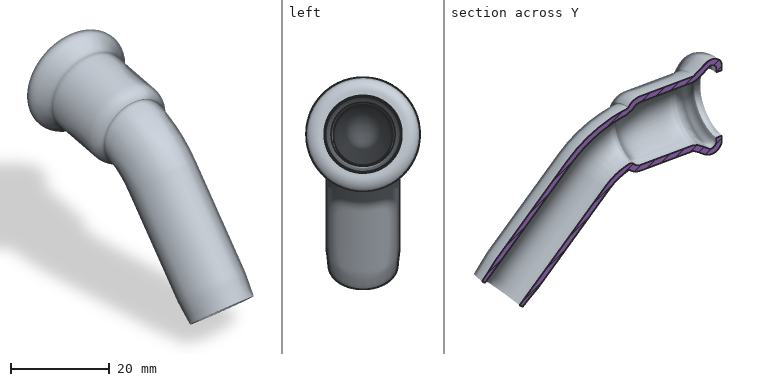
import cadquery as cq
import math

pipe_radius = 15.0 / 2
bore_radius = 12.0 / 2
bend_angle = 45
bend_radius = 18.25
leg_length = 29.9

bead_radius = 23.2 / 2
bead_round = 2.65
bead_middle_angle = math.radians(120)
flare_end = 7.0
socket_radius = 18.3 / 2
socket_end = 19.95
shoulder_length = 3.1

mouth_radius = 15.8 / 2
seat_radius = 15.2 / 2
seat_start = 7.2
step_radius = 13.05 / 2

tip_radius = 7.1
taper_length = 4.65
blend_length = 0.8

wall = socket_radius - seat_radius
bead_center_radius = bead_radius - bead_round
shoulder_end = socket_end + shoulder_length
shoulder_drop = socket_radius - pipe_radius
shoulder_round = (shoulder_length**2 + shoulder_drop**2) / (2 * shoulder_drop)
shoulder_center_radius = socket_radius - shoulder_round
x_axis = ((0, 0, 0), (1, 0, 0))


def bead_point(angle, offset=0):
    """Point on the bead round moved inward by offset, angle in radians from the X direction."""
    round_radius = bead_round - offset
    return (bead_round + round_radius * math.cos(angle), bead_center_radius + round_radius * math.sin(angle))


def shoulder_point(x, offset=0):
    """Point at x on the shoulder round, moved inward along its radius by offset."""
    round_radius = shoulder_round - offset
    return (x, shoulder_center_radius + math.sqrt(round_radius**2 - (x - socket_end) ** 2))


def flare_tangent_angle():
    """Angle at which a line from the start of the socket barrel touches the bead round."""
    dx = flare_end - bead_round
    dr = socket_radius - bead_center_radius
    return math.atan2(dr, dx) + math.acos(bead_round / math.hypot(dx, dr))


def make_socket():
    return (
        cq.Workplane("XY")
        .moveTo(0, 0)
        .lineTo(0, bead_center_radius)
        .threePointArc(bead_point(bead_middle_angle), bead_point(flare_tangent_angle()))
        .lineTo(flare_end, socket_radius)
        .lineTo(socket_end, socket_radius)
        .threePointArc(shoulder_point(socket_end + shoulder_length / 2), shoulder_point(shoulder_end))
        .lineTo(shoulder_end, 0)
        .close()
        .revolve(360, *x_axis)
    )


def make_socket_cavity():
    flare_angle = flare_tangent_angle()
    groove_x, groove_radius = bead_point(flare_angle, wall)
    groove_end = groove_x + (groove_radius - mouth_radius) * math.tan(flare_angle)
    inner_round = shoulder_round - wall
    step_x = socket_end + math.sqrt(inner_round**2 - (step_radius - shoulder_center_radius) ** 2)
    middle = shoulder_point((socket_end + step_x) / 2, wall)
    return (
        cq.Workplane("XY")
        .moveTo(0, 0)
        .lineTo(0, mouth_radius)
        .lineTo(wall, mouth_radius)
        .lineTo(wall, bead_center_radius)
        .threePointArc(bead_point(bead_middle_angle, wall), (groove_x, groove_radius))
        .lineTo(groove_end, mouth_radius)
        .lineTo(seat_start, seat_radius)
        .lineTo(socket_end, seat_radius)
        .threePointArc(middle, (step_x, step_radius))
        .lineTo(shoulder_end, bore_radius)
        .lineTo(shoulder_end, 0)
        .close()
        .revolve(360, *x_axis)
    )


def make_bend(radius):
    return (
        cq.Workplane("YZ", origin=(socket_end, 0, 0))
        .circle(radius)
        .revolve(bend_angle, (0, -bend_radius, 0), (1, -bend_radius, 0))
    )


def place_on_leg(shape):
    """Move a shape built along +X from the origin to the end of the bend."""
    angle = math.radians(bend_angle)
    end_x = socket_end + bend_radius * math.sin(angle)
    end_z = -bend_radius * (1 - math.cos(angle))
    return shape.rotate((0, 0, 0), (0, 1, 0), bend_angle).translate((end_x, 0, end_z))


def make_leg():
    taper_start = leg_length - taper_length
    blend_start = taper_start - blend_length
    slope = (pipe_radius - tip_radius) / (taper_length + blend_length / 2)
    leg = (
        cq.Workplane("XY")
        .moveTo(0, 0)
        .lineTo(0, pipe_radius)
        .lineTo(blend_start, pipe_radius)
        .tangentArcPoint((taper_start, tip_radius + slope * taper_length), relative=False)
        .lineTo(leg_length, tip_radius)
        .lineTo(leg_length, 0)
        .close()
        .revolve(360, *x_axis)
    )
    return place_on_leg(leg)


def make_leg_bore():
    return place_on_leg(cq.Workplane("YZ").circle(bore_radius).extrude(leg_length))


body = make_socket().union(make_bend(pipe_radius)).union(make_leg())
result = body.cut(make_socket_cavity()).cut(make_bend(bore_radius)).cut(make_leg_bore())